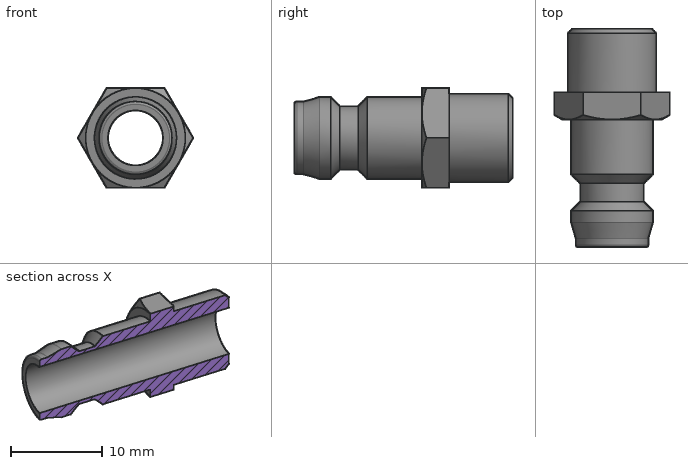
import cadquery as cq
import math

total_length = 24.0
front_y = -total_length / 2
back_y = front_y + total_length

bore_radius = 3.0
tip_radius = 4.0
plug_radius = 4.5
groove_radius = 3.5
thread_radius = 4.87

tip_length = 1.0
taper_length = 1.75
collar_length = 1.25
groove_floor_length = 2.0
shank_length = 6.0
hex_length = 3.0

hex_across_flats = 11.0
hex_across_corners = hex_across_flats / math.cos(math.pi / 6)
hex_chamfer_radius = 5.47
hex_chamfer_angle = 30.0

tip_fillet = 0.3
thread_chamfer = 0.5

groove_depth = plug_radius - groove_radius
taper_front_y = front_y + tip_length
collar_front_y = taper_front_y + taper_length
collar_back_y = collar_front_y + collar_length
groove_front_y = collar_back_y + groove_depth
groove_back_y = groove_front_y + groove_floor_length
shank_front_y = groove_back_y + groove_depth
hex_front_y = shank_front_y + shank_length
hex_back_y = hex_front_y + hex_length


def revolve_about_y(outline):
    """Close an XY half section and turn it around the Y axis."""
    return outline.close().revolve(360, (0, 0, 0), (0, 1, 0))


def make_body():
    """Turned plug, shank and thread blank, solid through the middle."""
    arc_offset = tip_fillet * (1 - math.sqrt(0.5))
    outline = (
        cq.Workplane("XY")
        .moveTo(0, front_y)
        .lineTo(tip_radius - tip_fillet, front_y)
        .threePointArc(
            (tip_radius - arc_offset, front_y + arc_offset),
            (tip_radius, front_y + tip_fillet),
        )
        .lineTo(tip_radius, taper_front_y)
        .lineTo(plug_radius, collar_front_y)
        .lineTo(plug_radius, collar_back_y)
        .lineTo(groove_radius, groove_front_y)
        .lineTo(groove_radius, groove_back_y)
        .lineTo(plug_radius, shank_front_y)
        .lineTo(plug_radius, hex_front_y)
        .lineTo(thread_radius, hex_front_y)
        .lineTo(thread_radius, back_y - thread_chamfer)
        .lineTo(thread_radius - thread_chamfer, back_y)
        .lineTo(0, back_y)
    )
    return revolve_about_y(outline)


def make_hex():
    """Hexagon with corners on X, its front corners trimmed by a cone."""
    prism = (
        cq.Workplane("XZ", origin=(0, hex_back_y, 0))
        .polygon(6, hex_across_corners)
        .extrude(hex_length)
    )
    corner_radius = hex_across_corners / 2
    chamfer_length = (corner_radius - hex_chamfer_radius) * math.tan(math.radians(hex_chamfer_angle))
    envelope = revolve_about_y(
        cq.Workplane("XY")
        .moveTo(0, hex_front_y)
        .lineTo(hex_chamfer_radius, hex_front_y)
        .lineTo(corner_radius, hex_front_y + chamfer_length)
        .lineTo(corner_radius, hex_back_y)
        .lineTo(0, hex_back_y)
    )
    return prism.intersect(envelope)


def make_bore():
    """Straight cylinder through the full length."""
    return cq.Workplane("XZ", origin=(0, back_y, 0)).circle(bore_radius).extrude(total_length)


result = make_body().union(make_hex()).cut(make_bore())